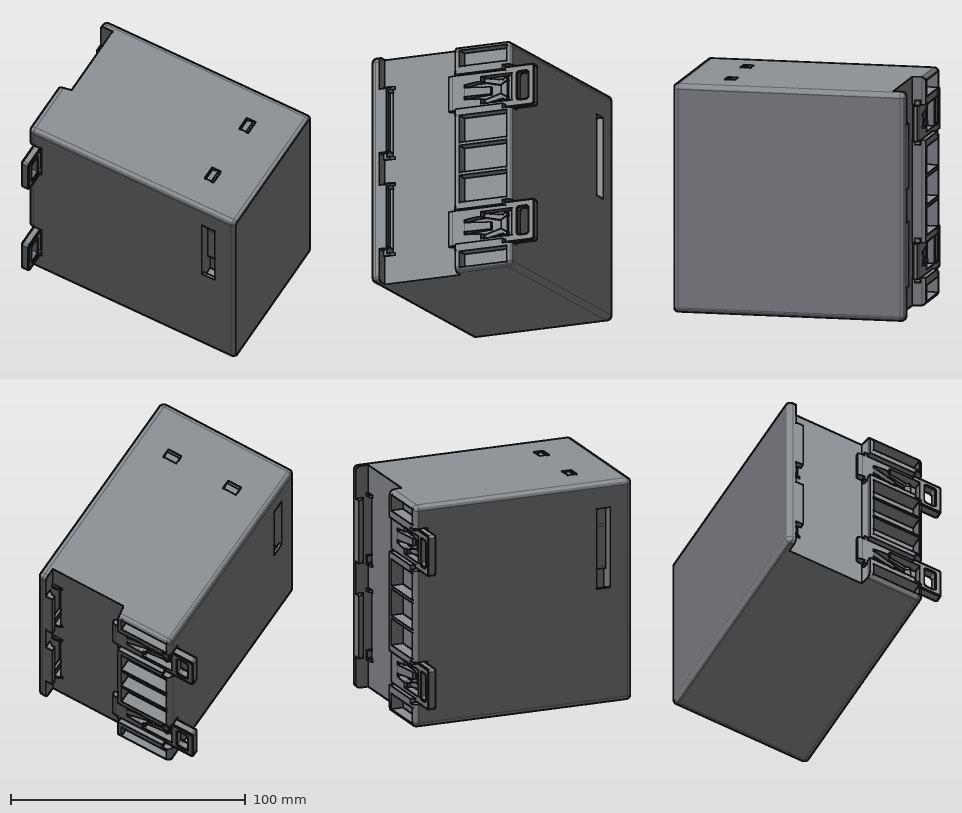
import cadquery as cq

LENGTH = 101.0
DEPTH = 66.0
HEIGHT = 99.0
MID_Z = HEIGHT / 2
EDGE_RADIUS = 2.2
FAR_TRIM = 0.4

CHANNEL_FLOOR = 5.9
CHANNEL_TOP_Y = 62.0
CHANNEL_BOTTOM_Y = 26.8
LIP_Y = 26.0
LIP_LAND = 1.8

HOOK_OFFSET = 21.2
HOOK_LENGTH = 28.1
HOOK_EDGE_Y = 58.7
HOOK_SHOULDER_Y = 60.0
HOOK_NOSE = 2.0
HOOK_ROOT = 3.6
HOOK_RIB_SPAN = 31.9
HOOK_RIB_THICKNESS = 1.1
HOOK_RIB_HEIGHT = 1.0
HOOK_RIB_EDGE_Y = 59.3
HOOK_RIB_END_Y = 57.1
UNDERCUT_WIDTH = HOOK_RIB_SPAN - 2 * HOOK_RIB_THICKNESS
UNDERCUT_DEPTH = 5.1
UNDERCUT_EDGE_Y = 58.1
UNDERCUT_BLOCK_Y = 60.6
UNDERCUT_BLOCK_LENGTH = 3.1

POCKET_FRONT_Y = 1.8
POCKET_BACK_Y = 24.3
POCKET_DEPTH = 5.6
POCKET_WEB = 1.3
LARGE_POCKET = 11.9
SMALL_POCKET = 7.1
END_POCKET_OFFSET = 44.4

CLIP_OFFSET = 29.8
CLIP_FACE = 2.2
CLIP_BACK = CHANNEL_FLOOR
CLIP_WIDTH = 15.3
TONGUE_BACK = 4.6
TIP_Y = 30.3
TIP_BEVEL_Y = 28.6
TIP_FACE = 2.7
TIP_BACK = 4.2
TIP_BACK_BEVEL_Y = 29.3
TONGUE_ROOT_Y = 25.3
STOP_WIDTH = 19.1
STOP_LENGTH = 1.4
STOP_DEPTH = 2.4

HEAD_WIDTH = 18.1
HEAD_END_Y = -10.1
HEAD_START_Y = 3.4
HEAD_RADIUS = 1.1
HEAD_CHAMFER = 0.4
NOTCH_WIDTH = 18.9
NOTCH_BACK_Y = 3.7
NOTCH_FLOOR = 6.4
GRIP_END_Y = -7.3
GRIP_START_Y = -2.1
GRIP_WIDTH = 12.0
GRIP_RADIUS = 1.2

WINDOW_START_Y = 0.4
WINDOW_END_Y = 15.2
WINDOW_WIDTH = 11.9
LEDGE_LENGTH = 1.0
LEDGE_FACE = 3.2
RAMP_TOP_Y = 22.9
RAMP_END_Y = 11.3
RAMP_TOP_WIDTH = 4.0
RAMP_END_WIDTH = 3.1
RECESS_TOP_WIDTH = 6.2
RECESS_STEP_Y = 17.8
RECESS_STEP_WIDTH = 7.6
SPRING_FACE = 4.4
SPRING_ROOT_INNER = 3.8
SPRING_ROOT_OUTER = 5.7
SPRING_FORK_Y = 6.6
SPRING_FORK_INNER = 1.9
SPRING_WAIST_Y = 5.8
SPRING_WAIST_OUTER = 4.1
SPRING_HORN_Y = 4.2
SPRING_HORN_OUTER = 5.1
SPRING_TIP_Y = 3.2
SPRING_TIP_OUTER = 3.7
SPRING_END_Y = 3.5
SPRING_END_RECESS = 0.1

CONNECTOR_LEFT = 85.0
CONNECTOR_WIDTH = 6.4
CONNECTOR_TOP = 87.3
CONNECTOR_BOTTOM = 51.5
UPPER_STEP_Z = 79.0
LOWER_STEP_Z = 60.0
STEP_HEIGHT = 1.3
UPPER_FLOOR = 4.7
MIDDLE_FLOOR = 4.9
LOWER_LEDGE = 5.0
LOWER_FLOOR = 7.1
CONNECTOR_WALL = 1.3
CONNECTOR_UNDERCUT = 4.0

LATCH_X = 77.9
LATCH_LENGTH = 4.3
LATCH_RAMP_LENGTH = 3.2
LATCH_WIDTH = 6.5
LATCH_SHALLOW = 0.4
LATCH_DEEP = 2.0
LATCH_CENTERS_Y = (18.0, 47.8)

OVERCUT = 1.0


def box(x0, x1, y0, y1, z0, z1):
    """Axis-aligned block between two opposite corners."""
    return cq.Workplane("XY").box(x1 - x0, y1 - y0, z1 - z0, centered=False).translate((x0, y0, z0))


def box_along_z(x0, x1, y0, y1, center_z, width):
    """Block of the given Z width centred on center_z."""
    return box(x0, x1, y0, y1, center_z - width / 2, center_z + width / 2)


def prism_along_z(points, center_z, width):
    """XY outline extruded along Z, centred on center_z."""
    profile = cq.Workplane("XY").polyline(points).close().extrude(width)
    return profile.translate((0, 0, center_z - width / 2))


def prism_along_x(points, center_z, x0, x1):
    """Outline in Y and Z offset from center_z, extruded from x0 to x1."""
    profile = cq.Workplane("YZ").polyline(points).close().extrude(x1 - x0)
    return profile.translate((x0, 0, center_z))


def mirrored(half):
    """Close a half outline by reflecting it about the Y axis."""
    return half + [(y, -z) for y, z in reversed(half)]


def housing():
    """Rounded block whose +X end is trimmed flat, cutting slightly into the rounding there."""
    block = box(0, LENGTH + FAR_TRIM, 0, DEPTH, 0, HEIGHT).edges().fillet(EDGE_RADIUS)
    return block.intersect(box(0, LENGTH, 0, DEPTH, 0, HEIGHT))


def rail_channel():
    outline = [
        (-OVERCUT, LIP_Y),
        (LIP_LAND, LIP_Y),
        (CHANNEL_FLOOR, CHANNEL_BOTTOM_Y),
        (CHANNEL_FLOOR, CHANNEL_TOP_Y),
        (-OVERCUT, CHANNEL_TOP_Y),
    ]
    return prism_along_z(outline, MID_Z, HEIGHT + 2 * OVERCUT)


def hook(center_z):
    """Undercut hook lip."""
    outline = [
        (0, DEPTH - EDGE_RADIUS),
        (0, HOOK_EDGE_Y),
        (HOOK_NOSE, HOOK_EDGE_Y),
        (HOOK_NOSE, HOOK_SHOULDER_Y),
        (HOOK_ROOT, CHANNEL_TOP_Y),
        (HOOK_ROOT, DEPTH - EDGE_RADIUS),
    ]
    return prism_along_z(outline, center_z, HOOK_LENGTH)


def hook_ribs(center_z):
    """Pair of low ribs on the channel floor, one at each end of a hook."""
    outline = [
        (CHANNEL_FLOOR, CHANNEL_TOP_Y),
        (CHANNEL_FLOOR - HOOK_RIB_HEIGHT, CHANNEL_TOP_Y),
        (CHANNEL_FLOOR - HOOK_RIB_HEIGHT, HOOK_RIB_EDGE_Y),
        (CHANNEL_FLOOR, HOOK_RIB_END_Y),
    ]
    offset = (HOOK_RIB_SPAN - HOOK_RIB_THICKNESS) / 2
    lower = prism_along_z(outline, center_z - offset, HOOK_RIB_THICKNESS)
    upper = prism_along_z(outline, center_z + offset, HOOK_RIB_THICKNESS)
    return lower.union(upper)


def hook_undercut(center_z):
    """Pocket in the channel floor behind a hook, between its ribs."""
    floor = CHANNEL_FLOOR + UNDERCUT_DEPTH
    return box_along_z(CHANNEL_FLOOR, floor, UNDERCUT_EDGE_Y, CHANNEL_TOP_Y, center_z, UNDERCUT_WIDTH)


def undercut_block(center_z):
    """Block standing at the lower end of a hook undercut, level with the ribs."""
    bottom = center_z - UNDERCUT_WIDTH / 2
    face = CHANNEL_FLOOR - HOOK_RIB_HEIGHT
    floor = CHANNEL_FLOOR + UNDERCUT_DEPTH
    top = bottom + UNDERCUT_BLOCK_LENGTH
    return box(face, floor, UNDERCUT_BLOCK_Y, CHANNEL_TOP_Y, bottom, top)


def face_pocket(offset_z, width):
    return box_along_z(-OVERCUT, POCKET_DEPTH, POCKET_FRONT_Y, POCKET_BACK_Y, MID_Z + offset_z, width)


def clip_slot(center_z):
    """Guide slot of a clip, widened to a notch at the -Y face."""
    slot = box_along_z(-OVERCUT, CLIP_BACK, -OVERCUT, CHANNEL_BOTTOM_Y, center_z, CLIP_WIDTH)
    notch = box_along_z(-OVERCUT, NOTCH_FLOOR, -OVERCUT, NOTCH_BACK_Y, center_z, NOTCH_WIDTH)
    return slot.union(notch)


def clip_head(center_z):
    """Grip outside the housing, with a rounded finger opening."""
    head = box_along_z(CLIP_FACE, CLIP_BACK, HEAD_END_Y, HEAD_START_Y, center_z, HEAD_WIDTH)
    grip = box_along_z(CLIP_FACE, CLIP_BACK, GRIP_END_Y, GRIP_START_Y, center_z, GRIP_WIDTH)
    head = head.edges("|X and <Y").fillet(HEAD_RADIUS)
    head = head.cut(grip.edges("|X").fillet(GRIP_RADIUS))
    return head.faces("<X or >X").edges("not >Y").chamfer(HEAD_CHAMFER)


def clip_spring(center_z):
    """Two converging spring arms joined by a flared end, with a sloped tongue between them."""
    ledge_y = WINDOW_END_Y - LEDGE_LENGTH
    outer = [
        (ledge_y, SPRING_ROOT_OUTER),
        (SPRING_WAIST_Y, SPRING_WAIST_OUTER),
        (SPRING_HORN_Y, SPRING_HORN_OUTER),
        (SPRING_TIP_Y, SPRING_TIP_OUTER),
        (SPRING_END_Y, SPRING_TIP_OUTER),
    ]
    opening = [(ledge_y, SPRING_ROOT_INNER), (SPRING_FORK_Y, SPRING_FORK_INNER)]
    spring = prism_along_x(mirrored(outer), center_z, SPRING_FACE, CLIP_BACK)
    spring = spring.cut(prism_along_x(mirrored(opening), center_z, SPRING_FACE, CLIP_BACK))

    end_face = [(SPRING_FORK_Y, SPRING_FORK_INNER), (SPRING_END_Y, SPRING_TIP_OUTER)]
    end_recess = prism_along_x(mirrored(end_face), center_z, SPRING_FACE, SPRING_FACE + SPRING_END_RECESS)
    spring = spring.cut(end_recess)

    ledge = box_along_z(LEDGE_FACE, CLIP_BACK, ledge_y, WINDOW_END_Y, center_z, WINDOW_WIDTH)
    gap = box_along_z(LEDGE_FACE, CLIP_BACK, ledge_y, WINDOW_END_Y, center_z, RECESS_STEP_WIDTH)

    tongue_plan = [(RAMP_TOP_Y, RAMP_TOP_WIDTH / 2), (RAMP_END_Y, RAMP_END_WIDTH / 2)]
    tongue = prism_along_x(mirrored(tongue_plan), center_z, CLIP_FACE, CLIP_BACK)
    slope = [(CLIP_FACE, RAMP_TOP_Y), (SPRING_FACE, RAMP_END_Y), (CLIP_FACE, RAMP_END_Y)]
    tongue = tongue.cut(prism_along_z(slope, center_z, WINDOW_WIDTH))
    return spring.union(ledge.cut(gap)).union(tongue)


def spring_window(center_z):
    """Opening in the clip face around the spring and its tongue."""
    window = box_along_z(CLIP_FACE, CLIP_BACK, WINDOW_START_Y, WINDOW_END_Y, center_z, WINDOW_WIDTH)
    recess = [
        (RAMP_TOP_Y, RECESS_TOP_WIDTH / 2),
        (RECESS_STEP_Y, RECESS_STEP_WIDTH / 2),
        (WINDOW_END_Y, RECESS_STEP_WIDTH / 2),
    ]
    return window.union(prism_along_x(mirrored(recess), center_z, CLIP_FACE, CLIP_BACK))


def clip(center_z):
    outline = [
        (CLIP_FACE, 0),
        (CLIP_FACE, TIP_BEVEL_Y),
        (TIP_FACE, TIP_Y),
        (TIP_BACK, TIP_Y),
        (TONGUE_BACK, TIP_BACK_BEVEL_Y),
        (TONGUE_BACK, TONGUE_ROOT_Y),
        (CLIP_BACK, TONGUE_ROOT_Y),
        (CLIP_BACK, 0),
    ]
    slider = prism_along_z(outline, center_z, CLIP_WIDTH)
    stop_end = LIP_Y + STOP_LENGTH
    stops = box_along_z(CLIP_FACE, CLIP_FACE + STOP_DEPTH, LIP_Y, stop_end, center_z, STOP_WIDTH)
    slider = slider.union(clip_head(center_z)).union(stops)
    return slider.cut(spring_window(center_z)).union(clip_spring(center_z))


def connector_slot():
    """Slot in the -Y face with three floor levels joined by short slopes, hollowed below its lower edge."""
    outline = [
        (-OVERCUT, CONNECTOR_TOP),
        (UPPER_FLOOR, CONNECTOR_TOP),
        (UPPER_FLOOR, UPPER_STEP_Z),
        (MIDDLE_FLOOR, UPPER_STEP_Z - STEP_HEIGHT),
        (MIDDLE_FLOOR, LOWER_STEP_Z),
        (LOWER_LEDGE, LOWER_STEP_Z - STEP_HEIGHT),
        (LOWER_FLOOR, LOWER_STEP_Z - STEP_HEIGHT),
        (LOWER_FLOOR, CONNECTOR_BOTTOM - CONNECTOR_UNDERCUT),
        (CONNECTOR_WALL, CONNECTOR_BOTTOM - CONNECTOR_UNDERCUT),
        (CONNECTOR_WALL, CONNECTOR_BOTTOM),
        (-OVERCUT, CONNECTOR_BOTTOM),
    ]
    slot = cq.Workplane("YZ").polyline(outline).close().extrude(CONNECTOR_WIDTH)
    return slot.translate((CONNECTOR_LEFT, 0, 0))


def latch_recess(center_y):
    """Recess in the top face whose floor slopes down towards -X."""
    end = LATCH_X + LATCH_LENGTH
    outline = [
        (LATCH_X, HEIGHT + OVERCUT),
        (LATCH_X, HEIGHT - LATCH_DEEP),
        (LATCH_X + LATCH_RAMP_LENGTH, HEIGHT - LATCH_SHALLOW),
        (end, HEIGHT - LATCH_SHALLOW),
        (end, HEIGHT + OVERCUT),
    ]
    recess = cq.Workplane("XZ").polyline(outline).close().extrude(LATCH_WIDTH)
    return recess.translate((0, center_y + LATCH_WIDTH / 2, 0))


body = housing().cut(rail_channel())

for offset in (-HOOK_OFFSET, HOOK_OFFSET):
    hook_z = MID_Z + offset
    body = body.cut(hook_undercut(hook_z)).union(undercut_block(hook_z))
    body = body.union(hook(hook_z)).union(hook_ribs(hook_z))

pocket_pitch = LARGE_POCKET + POCKET_WEB
for offset in (-pocket_pitch, 0, pocket_pitch):
    body = body.cut(face_pocket(offset, LARGE_POCKET))
for offset in (-END_POCKET_OFFSET, END_POCKET_OFFSET):
    body = body.cut(face_pocket(offset, SMALL_POCKET))

for offset in (-CLIP_OFFSET, CLIP_OFFSET):
    clip_z = MID_Z + offset
    body = body.cut(clip_slot(clip_z)).union(clip(clip_z))

body = body.cut(connector_slot())
for latch_y in LATCH_CENTERS_Y:
    body = body.cut(latch_recess(latch_y))

result = body